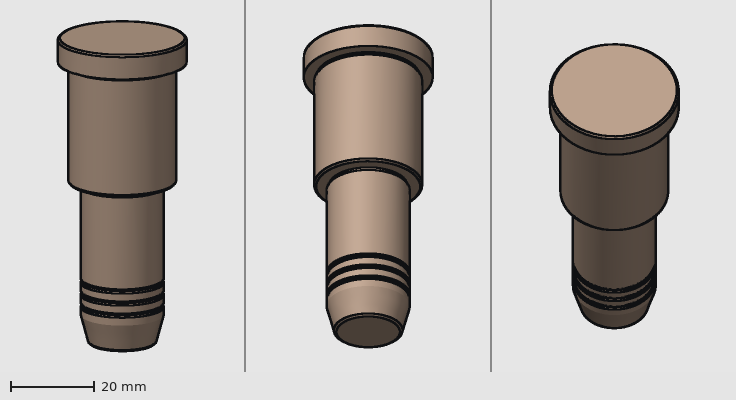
import cadquery as cq
import math

total_length = 76.0
edge_chamfer = 0.5

head_radius = 31.0 / 2
head_length = 6.0

body_radius = 26.0 / 2
body_end_depth = 36.0
neck_relief_depth = 0.5

shank_radius = 20.0 / 2
undercut_depth = 0.5

relief_width = 1.0

groove_count = 3
first_groove_depth = 60.0
nose_length = 7.0
nose_half_angle = 15.0
groove_radial_depth = 0.3

head_bottom_z = total_length - head_length
body_bottom_z = total_length - body_end_depth
first_groove_z = total_length - first_groove_depth
groove_pitch = (first_groove_z - nose_length) / groove_count


def frustum(bottom_z, top_z, bottom_radius, top_radius):
    """Solid cone section on the Z axis."""
    return (
        cq.Workplane("XZ")
        .moveTo(0, bottom_z)
        .lineTo(bottom_radius, bottom_z)
        .lineTo(top_radius, top_z)
        .lineTo(0, top_z)
        .close()
        .revolve(360, (0, 0, 0), (0, 1, 0))
    )


def cylinder(bottom_z, top_z, radius):
    return frustum(bottom_z, top_z, radius, radius)


def cut_relief(shape, top_z, outer_radius, depth):
    """Cut a ring with a square upper wall, a flat floor and a sloping lower wall."""
    floor_radius = outer_radius - depth
    floor_end_z = top_z - relief_width / 2
    bottom_z = top_z - relief_width
    ring = cylinder(bottom_z, top_z, outer_radius)
    core = cylinder(floor_end_z, top_z, floor_radius).union(
        frustum(bottom_z, floor_end_z, outer_radius, floor_radius)
    )
    return shape.cut(ring.cut(core))


def make_head():
    return cylinder(head_bottom_z, total_length, head_radius).faces(">Z").chamfer(edge_chamfer)


def make_body():
    body = cylinder(body_bottom_z, head_bottom_z, body_radius).faces("<Z").chamfer(edge_chamfer)
    return cut_relief(body, head_bottom_z, body_radius, neck_relief_depth)


def make_shank():
    undercut_bottom_z = body_bottom_z - relief_width
    shank = cylinder(nose_length, undercut_bottom_z, shank_radius)
    shank = shank.union(cylinder(undercut_bottom_z, body_bottom_z, shank_radius - undercut_depth))
    for index in range(groove_count):
        groove_z = first_groove_z - index * groove_pitch
        shank = cut_relief(shank, groove_z, shank_radius, groove_radial_depth)
    return shank


def make_nose():
    tip_radius = shank_radius - nose_length * math.tan(math.radians(nose_half_angle))
    return frustum(0, nose_length, tip_radius, shank_radius).faces("<Z").chamfer(edge_chamfer)


result = make_head().union(make_body()).union(make_shank()).union(make_nose())